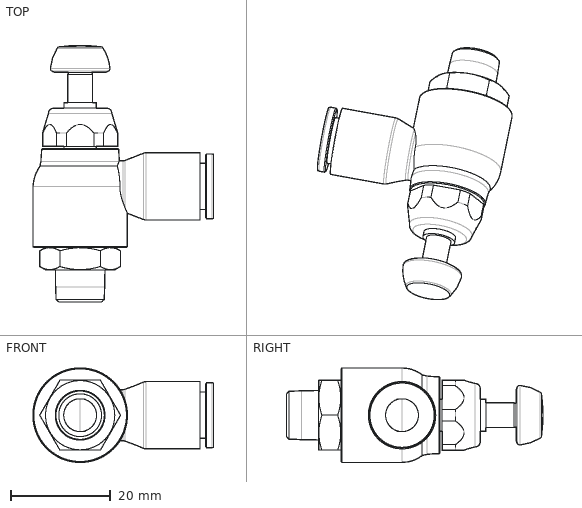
import cadquery as cq
import math


hex_sides = 6

body_radius = 9.5
body_bottom = -12.25
body_edge_chamfer = 0.2
shoulder_end = 4.05
shoulder_end_radius = 8.1
collar_start = 5.0
collar_start_radius = 7.9
collar_top = 7.6
collar_top_radius = 7.75
collar_edge_chamfer = 0.2

hex_across_flats = 14.05
hex_bottom = -16.75
hex_face_radius = 6.95
hex_chamfer_angle = 30

spigot_tip = -23.2
spigot_step = -20.2
spigot_root_radius = 5.0
spigot_step_radius = 4.95
spigot_end_radius = 4.85
spigot_tip_radius = 4.3
spigot_chamfer_length = 0.5

bore_radius = 3.3

nut_bottom = 8.05
nut_cone_start = 10.7
nut_cone_end = 14.6
nut_top = 15.7
nut_radius = 7.57
nut_cone_end_radius = 6.4
nut_top_radius = 5.5
nut_top_bulge = 0.25
nut_across_flats = 14.1

sleeve_radius = 3.25
sleeve_top = 16.8
stem_radius = 2.5
stem_top = 22.5
stem_neck_radius = 2.35
cap_bottom = 22.9
cap_bottom_radius = 5.2
cap_bevel_end = 23.15
cap_bevel_end_radius = 5.75
cap_rim = 23.7
cap_radius = 6.0
cap_rim_bulge = 0.08
cap_shoulder = 27.7
cap_shoulder_radius = 4.65
cap_side_bulge = 0.25
cap_edge = 28.0
cap_edge_radius = 4.4
cap_top = 28.3

branch_neck_radius = 5.15
branch_cone_start = 8.8
branch_cone_end = 12.95
branch_radius = 6.77
branch_blend_length = 0.25
branch_shell_end = 24.1
release_ring_start = 25.15
release_ring_radius = 6.55
release_sleeve_radius = 4.67
release_ring_chamfer = 0.25
release_ring_face_radius = 6.45
release_ring_face_bevel = 0.35
branch_end = 26.8


def tangent_arc_midpoint(radius, end_radius, length):
    """Midpoint (radius, station) of an arc that leaves a cylinder tangentially at station 0."""
    drop = radius - end_radius
    arc_radius = (length**2 + drop**2) / (2 * drop)
    half_angle = math.asin(length / arc_radius) / 2
    mid_radius = radius - arc_radius * (1 - math.cos(half_angle))
    return mid_radius, arc_radius * math.sin(half_angle)


def bulged_midpoint(start, end, bulge):
    """Midpoint of a rising chord, pushed outward by the bulge at right angles to it."""
    dr = end[0] - start[0]
    dy = end[1] - start[1]
    chord = math.hypot(dr, dy)
    mid_radius = (start[0] + end[0]) / 2 + bulge * dy / chord
    mid_station = (start[1] + end[1]) / 2 - bulge * dr / chord
    return mid_radius, mid_station


def revolve_about_y(profile):
    return profile.close().revolve(360, (0, 0, 0), (0, 1, 0))


def cylinder_y(radius, start, end):
    return cq.Workplane("XZ", origin=(0, start, 0)).circle(radius).extrude(start - end)


def make_body():
    profile = (
        cq.Workplane("XY")
        .moveTo(0, body_bottom)
        .lineTo(body_radius - body_edge_chamfer, body_bottom)
        .lineTo(body_radius, body_bottom + body_edge_chamfer)
        .lineTo(body_radius, 0)
        .threePointArc(
            tangent_arc_midpoint(body_radius, shoulder_end_radius, shoulder_end),
            (shoulder_end_radius, shoulder_end),
        )
        .lineTo(collar_start_radius, collar_start)
        .lineTo(collar_top_radius, collar_top - collar_edge_chamfer)
        .lineTo(collar_top_radius - collar_edge_chamfer, collar_top)
        .lineTo(0, collar_top)
    )
    return revolve_about_y(profile)


def make_hexagon():
    corner_radius = hex_across_flats / math.cos(math.pi / hex_sides) / 2
    chamfer = (corner_radius - hex_face_radius) * math.tan(math.radians(hex_chamfer_angle))
    prism = (
        cq.Workplane("XZ", origin=(0, hex_bottom, 0))
        .polygon(hex_sides, 2 * corner_radius)
        .extrude(hex_bottom - body_bottom)
    )
    envelope = revolve_about_y(
        cq.Workplane("XY")
        .moveTo(0, hex_bottom)
        .lineTo(hex_face_radius, hex_bottom)
        .lineTo(corner_radius, hex_bottom + chamfer)
        .lineTo(corner_radius, body_bottom - chamfer)
        .lineTo(hex_face_radius, body_bottom)
        .lineTo(0, body_bottom)
    )
    return prism.intersect(envelope)


def make_spigot():
    profile = (
        cq.Workplane("XY")
        .moveTo(0, spigot_tip)
        .lineTo(spigot_tip_radius, spigot_tip)
        .lineTo(spigot_end_radius, spigot_tip + spigot_chamfer_length)
        .lineTo(spigot_step_radius, spigot_step)
        .lineTo(spigot_root_radius, hex_bottom)
        .lineTo(0, hex_bottom)
    )
    return revolve_about_y(profile)


def make_nut():
    top_edge_start = (nut_cone_end_radius, nut_cone_end)
    top_edge_end = (nut_top_radius, nut_top)
    blank = revolve_about_y(
        cq.Workplane("XY")
        .moveTo(0, nut_bottom)
        .lineTo(nut_radius, nut_bottom)
        .lineTo(nut_radius, nut_cone_start)
        .lineTo(*top_edge_start)
        .threePointArc(bulged_midpoint(top_edge_start, top_edge_end, nut_top_bulge), top_edge_end)
        .lineTo(0, nut_top)
    )
    flats = (
        cq.Workplane("XZ", origin=(0, nut_bottom, 0))
        .polygon(hex_sides, nut_across_flats / math.cos(math.pi / hex_sides))
        .extrude(nut_bottom - nut_top)
    )
    return blank.intersect(flats)


def make_needle():
    bevel_end = (cap_bevel_end_radius, cap_bevel_end)
    rim = (cap_radius, cap_rim)
    shoulder = (cap_shoulder_radius, cap_shoulder)
    dome_start = (cap_edge_radius, cap_edge)
    dome_apex = (0, cap_top)
    dome_height = cap_top - cap_edge
    dome_radius = (cap_edge_radius**2 + dome_height**2) / (2 * dome_height)
    dome_half_angle = math.asin(cap_edge_radius / dome_radius) / 2
    dome_midpoint = (
        dome_radius * math.sin(dome_half_angle),
        cap_top - dome_radius * (1 - math.cos(dome_half_angle)),
    )
    cap_and_stem = revolve_about_y(
        cq.Workplane("XY")
        .moveTo(0, sleeve_top)
        .lineTo(stem_radius, sleeve_top)
        .lineTo(stem_radius, stem_top)
        .lineTo(stem_neck_radius, cap_bottom)
        .lineTo(cap_bottom_radius, cap_bottom)
        .lineTo(*bevel_end)
        .threePointArc(bulged_midpoint(bevel_end, rim, cap_rim_bulge), rim)
        .threePointArc(bulged_midpoint(rim, shoulder, cap_side_bulge), shoulder)
        .lineTo(*dome_start)
        .threePointArc(dome_midpoint, dome_apex)
    )
    return cap_and_stem.union(cylinder_y(sleeve_radius, collar_top, sleeve_top))


def make_branch():
    cone_angle = math.atan2(branch_radius - branch_neck_radius, branch_cone_end - branch_cone_start)
    blend_run = branch_blend_length * math.cos(cone_angle)
    blend_rise = branch_blend_length * math.sin(cone_angle)
    profile = (
        cq.Workplane("XY")
        .moveTo(0, 0)
        .lineTo(0, branch_neck_radius)
        .lineTo(branch_cone_start - branch_blend_length, branch_neck_radius)
        .tangentArcPoint((branch_cone_start + blend_run, branch_neck_radius + blend_rise), relative=False)
        .lineTo(branch_cone_end - blend_run, branch_radius - blend_rise)
        .tangentArcPoint((branch_cone_end + branch_blend_length, branch_radius), relative=False)
        .lineTo(branch_shell_end, branch_radius)
        .lineTo(branch_shell_end, release_sleeve_radius)
        .lineTo(release_ring_start, release_sleeve_radius)
        .lineTo(release_ring_start, release_ring_radius - release_ring_chamfer)
        .lineTo(release_ring_start + release_ring_chamfer, release_ring_radius)
        .lineTo(branch_end - release_ring_face_bevel, release_ring_radius)
        .lineTo(branch_end, release_ring_face_radius)
        .lineTo(branch_end, 0)
        .close()
    )
    return profile.revolve(360, (0, 0, 0), (1, 0, 0))


def make_passage():
    """Inlet bore from the spigot, rounded elbow at the origin, outlet bore through the branch."""
    inlet = cylinder_y(bore_radius, spigot_tip, 0)
    elbow = cq.Workplane("XY").sphere(bore_radius)
    outlet = cq.Workplane("YZ").circle(bore_radius).extrude(branch_end)
    return inlet.union(elbow).union(outlet)


result = (
    make_body()
    .union(make_hexagon())
    .union(make_spigot())
    .union(make_nut())
    .union(make_needle())
    .union(make_branch())
    .cut(make_passage())
)